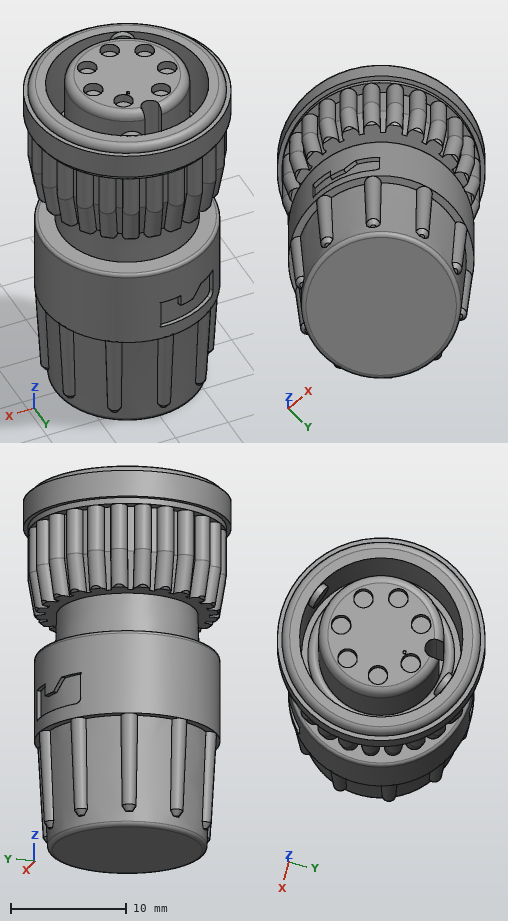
import cadquery as cq
sleeve_bottom = 9.9
sleeve_top = 17.47
knob_bottom = 21.43
knob_taper_top = 24.78
knob_flute_top = 28.8
flange_bottom = 29.35
flange_top = 31.7
rim_top = 32.4
insert_top = 33.43
overall_height = 33.53

nut_bottom_radius = 6.9
nut_top_radius = 7.38
nut_bottom_round = 0.4
nut_rib_count = 10
nut_rib_phase = -88.0
nut_rib_bottom = 1.75
nut_rib_tip = 1.25
nut_rib_top_radius = 0.75
nut_rib_bottom_radius = 0.6
nut_rib_tip_radius = 0.27
nut_rib_top_reach = 8.05
nut_rib_bottom_reach = 7.58
nut_rib_tip_reach = 7.2

sleeve_radius = 8.05
sleeve_round = 0.3
neck_bottom_radius = 6.27
neck_top_radius = 6.15

window_angle = 19.5
window_floor_radius = 7.68
window_half_width = 3.15
window_bottom = 11.15
window_top = 13.9
window_corner = 0.47
tooth_bottom = 12.85
tooth_left = -1.27
tooth_right = 0.07

flange_radius = 9.02
knob_radius = 8.62
knob_bottom_radius = 8.05
knob_core_radius = 7.7
knob_bevel_radius = 7.88
rim_round = 0.67
knob_rib_count = 24
knob_rib_radius = 0.75

socket_radius = 7.07
socket_floor_radius = 6.9
socket_floor = 25.82
insert_radius = 5.43
insert_round = 0.8
seal_section_radius = 0.47
key_half_width = 0.8
key_depth_radius = 3.95
contact_count = 7
contact_spacing = 50.0
contact_circle_radius = 3.6
contact_radius = 0.85
contact_depth = 0.8

lug_angle = 68.4
lug_radius = 1.15
lug_reach = 6.47

mark_x = 1.0
mark_y = 2.35
mark_radius = 0.15


def cylinder(radius, bottom, top):
    return cq.Workplane("XY").workplane(offset=bottom).circle(radius).extrude(top - bottom)


def cone(bottom_radius, bottom, top_radius, top):
    solid = cq.Solid.makeCone(bottom_radius, top_radius, top - bottom, cq.Vector(0, 0, bottom))
    return cq.Workplane(obj=solid)


def about_z(shape, angle):
    return shape.rotate((0, 0, 0), (0, 0, 1), angle)


def round_section(bottom_radius, bottom_x, bottom, top_radius, top_x, top):
    """Leaning round bar between two horizontal circles centred on the XZ plane."""
    inward = (-1, 0, 0)
    plane = cq.Plane(origin=(bottom_x, 0, bottom), xDir=inward, normal=(0, 0, 1))
    return (
        cq.Workplane(plane)
        .circle(bottom_radius)
        .workplane(offset=top - bottom)
        .center(bottom_x - top_x, 0)
        .circle(top_radius)
        .loft(ruled=True)
    )


def make_nut():
    nut = cone(nut_bottom_radius, 0, nut_top_radius, sleeve_bottom)
    nut = nut.faces("<Z").edges().fillet(nut_bottom_round)
    top_x = nut_rib_top_reach - nut_rib_top_radius
    bottom_x = nut_rib_bottom_reach - nut_rib_bottom_radius
    tip_x = nut_rib_tip_reach - nut_rib_tip_radius
    rib = round_section(
        nut_rib_bottom_radius, bottom_x, nut_rib_bottom, nut_rib_top_radius, top_x, sleeve_bottom
    )
    tip = round_section(
        nut_rib_tip_radius, tip_x, nut_rib_tip, nut_rib_bottom_radius, bottom_x, nut_rib_bottom
    )
    rib = rib.union(tip)
    pitch = 360 / nut_rib_count
    for index in range(nut_rib_count):
        nut = nut.union(about_z(rib, nut_rib_phase + index * pitch))
    return nut


def make_window_cutter():
    """Window facing -Y, with a sloped tooth hanging from its upper edge."""
    tooth_height = window_top - tooth_bottom
    outline = (
        cq.Workplane("XZ")
        .moveTo(-window_half_width, window_bottom)
        .lineTo(window_half_width - window_corner, window_bottom)
        .radiusArc((window_half_width, window_bottom + window_corner), -window_corner)
        .lineTo(window_half_width, window_top)
        .lineTo(tooth_right + tooth_height, window_top)
        .lineTo(tooth_right, tooth_bottom)
        .lineTo(tooth_left, tooth_bottom)
        .lineTo(tooth_left, window_top)
        .lineTo(-window_half_width, window_top)
        .close()
    )
    core = cylinder(window_floor_radius, sleeve_bottom, sleeve_top)
    return outline.extrude(2 * sleeve_radius).cut(core)


def make_sleeve():
    sleeve = cylinder(sleeve_radius, sleeve_bottom, sleeve_top)
    sleeve = sleeve.faces(">Z").edges().fillet(sleeve_round)
    cutter = make_window_cutter()
    for angle in (window_angle, window_angle + 180):
        sleeve = sleeve.cut(about_z(cutter, angle))
    return sleeve


def make_fluted_grip():
    """Ring of round ribs, upright above and leaning inward below."""
    lean = knob_radius - knob_bottom_radius
    rib_x = knob_radius - knob_rib_radius
    core_bottom_radius = knob_core_radius - lean
    grip = cylinder(knob_core_radius, knob_taper_top, knob_flute_top)
    grip = grip.union(cone(core_bottom_radius, knob_bottom, knob_core_radius, knob_taper_top))
    path = (
        cq.Workplane("XZ")
        .moveTo(rib_x, knob_flute_top)
        .lineTo(rib_x, knob_taper_top)
        .lineTo(rib_x - 2 * lean, 2 * knob_bottom - knob_taper_top)
    )
    rib = (
        cq.Workplane("XY", origin=(rib_x, 0, knob_flute_top))
        .circle(knob_rib_radius)
        .sweep(path, transition="right")
    )
    pitch = 360 / knob_rib_count
    for index in range(knob_rib_count):
        grip = grip.union(about_z(rib, (index + 0.5) * pitch))
    height = knob_flute_top - knob_bottom
    bevel = cone(knob_bevel_radius, knob_bottom, knob_bevel_radius + height, knob_flute_top)
    return grip.intersect(bevel)


def make_knob():
    rim = cylinder(knob_radius, knob_flute_top, rim_top).faces(">Z").edges().fillet(rim_round)
    flange = cylinder(flange_radius, flange_bottom, flange_top)
    knob = make_fluted_grip().union(rim).union(flange)
    return knob.cut(cone(socket_floor_radius, socket_floor, socket_radius, rim_top))


def make_lugs():
    """Two round lugs reaching inward from the socket wall, level with the rim."""
    lug = cq.Workplane("YZ", origin=(lug_reach, 0, rim_top - lug_radius)).circle(lug_radius)
    lug = lug.extrude(knob_core_radius - lug_reach)
    return about_z(lug, lug_angle).union(about_z(lug, lug_angle + 180))


def make_insert():
    insert = cylinder(insert_radius, socket_floor, insert_top)
    insert = insert.faces(">Z").edges().fillet(insert_round)
    key_center = key_depth_radius + key_half_width
    key = cylinder(key_half_width, socket_floor, insert_top).translate((0, key_center, 0))
    slot = (
        cq.Workplane("XY", origin=(0, key_center, socket_floor))
        .rect(2 * key_half_width, insert_radius)
        .extrude(insert_top - socket_floor)
        .translate((0, insert_radius / 2, 0))
    )
    key = key.union(slot)
    insert = insert.cut(key)
    contact = cylinder(contact_radius, insert_top - contact_depth, insert_top)
    contact = contact.translate((contact_circle_radius, 0, 0))
    for index in range(contact_count):
        offset = index - (contact_count - 1) / 2
        insert = insert.cut(about_z(contact, -90 + offset * contact_spacing))
    mark = cylinder(mark_radius, insert_top, overall_height).translate((mark_x, mark_y, 0))
    return insert.union(mark)


def make_seal():
    ring = cq.Solid.makeTorus(
        insert_radius + seal_section_radius, seal_section_radius, cq.Vector(0, 0, socket_floor)
    )
    return cq.Workplane(obj=ring)


neck = cone(neck_bottom_radius, sleeve_top, neck_top_radius, knob_bottom)
result = make_nut().union(make_sleeve()).union(neck).union(make_knob())
result = result.union(make_insert()).union(make_seal()).union(make_lugs())